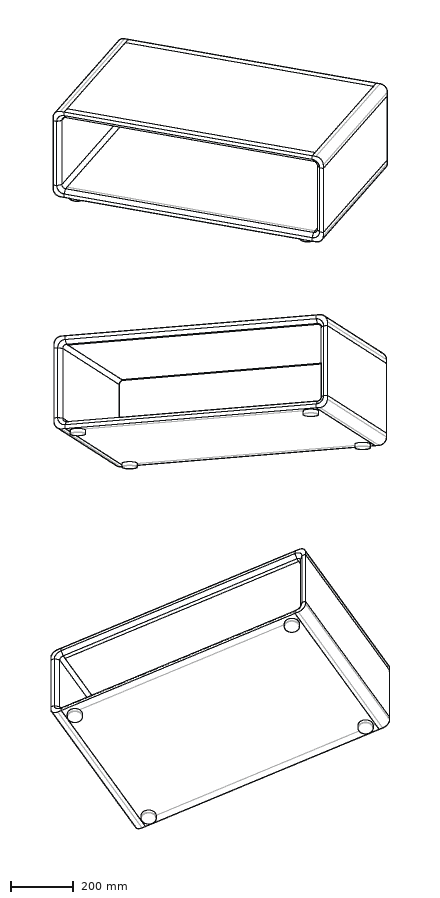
import cadquery as cq

WIDTH = 927.1
DEPTH = 558.8
BOX_HEIGHT = 304.8
WALL = 25.4
INNER_RADIUS = 12.7
OUTER_RADIUS = 25.4
BEVEL = 12.7
EDGING_WIDTH = 25.4
FOOT_DIAMETER = 49.0
FOOT_EDGE_RADIUS = 1.27
FOOT_HEIGHT = 12.71
FOOT_INSET_X = 68.5
FOOT_INSET_Y = 35.0

CORNER_SIZE = WALL + INNER_RADIUS
PANEL_WIDTH = WIDTH - 2 * CORNER_SIZE
SIDE_HEIGHT = BOX_HEIGHT - 2 * CORNER_SIZE
CORE_DEPTH = DEPTH - 2 * EDGING_WIDTH
PANEL_X = WIDTH / 2 - CORNER_SIZE
PANEL_Z = BOX_HEIGHT / 2 - CORNER_SIZE
WALL_X = (WIDTH - WALL) / 2
WALL_Z = (BOX_HEIGHT - WALL) / 2
EDGING_Y = (DEPTH - EDGING_WIDTH) / 2
FOOT_X = WIDTH / 2 - FOOT_INSET_X
FOOT_Y = DEPTH / 2 - FOOT_INSET_Y


def rounded_prism(width, height, radius, depth):
    """Rounded rectangle in XZ, extruded along Y and centred on the origin."""
    return (
        cq.Workplane("XZ")
        .rect(width, height)
        .extrude(depth / 2, both=True)
        .edges("|Y")
        .fillet(radius)
    )


def make_bevel_cutter(opening_width, opening_height, side_y):
    """Flared plug that matches the opening at its narrow end and widens to the box end."""
    mouth = rounded_prism(
        opening_width + 2 * BEVEL, opening_height + 2 * BEVEL, INNER_RADIUS + BEVEL, 2 * BEVEL
    )
    inner_face = ">Y" if side_y < 0 else "<Y"
    plug = mouth.faces(inner_face).chamfer(BEVEL)
    return plug.translate((0, side_y * DEPTH / 2, 0))


def make_tube():
    """Whole open-ended box, before it is divided into its pieces."""
    opening_width = WIDTH - 2 * WALL
    opening_height = BOX_HEIGHT - 2 * WALL
    outside = rounded_prism(WIDTH, BOX_HEIGHT, OUTER_RADIUS, DEPTH)
    opening = rounded_prism(opening_width, opening_height, INNER_RADIUS, DEPTH)
    tube = outside.cut(opening)
    for side_y in (-1, 1):
        tube = tube.cut(make_bevel_cutter(opening_width, opening_height, side_y))
    return tube


def piece_of(tube, size, centre):
    """The part of the tube that lies inside one box."""
    return tube.intersect(cq.Workplane("XY").box(*size).translate(centre))


def make_corner(tube, side_x, side_z):
    reach = CORNER_SIZE / 2
    centre = (side_x * (PANEL_X + reach), 0, side_z * (PANEL_Z + reach))
    return piece_of(tube, (CORNER_SIZE, DEPTH, CORNER_SIZE), centre)


def make_side(tube, side_x):
    return piece_of(tube, (WALL, DEPTH, SIDE_HEIGHT), (side_x * WALL_X, 0, 0))


def make_core(tube, side_z):
    return piece_of(tube, (PANEL_WIDTH, CORE_DEPTH, WALL), (0, 0, side_z * WALL_Z))


def make_edging(tube, side_y, side_z):
    centre = (0, side_y * EDGING_Y, side_z * WALL_Z)
    return piece_of(tube, (PANEL_WIDTH, EDGING_WIDTH, WALL), centre)


def make_bottom(tube):
    """Bottom core, its two edging strips and the four feet, all in one piece.

    The joints stay as lines on the surface, so the unions are not cleaned.
    """
    bottom = make_core(tube, -1)
    for side_y in (-1, 1):
        bottom = bottom.union(make_edging(tube, side_y, -1), clean=False)
    feet = (
        cq.Workplane("XY", origin=(0, 0, -BOX_HEIGHT / 2))
        .rect(2 * FOOT_X, 2 * FOOT_Y, forConstruction=True)
        .vertices()
        .circle(FOOT_DIAMETER / 2)
        .extrude(-FOOT_HEIGHT)
        .faces("<Z")
        .edges()
        .fillet(FOOT_EDGE_RADIUS)
    )
    return bottom.union(feet, clean=False)


tube = make_tube()
corners = [make_corner(tube, side_x, side_z) for side_x in (-1, 1) for side_z in (-1, 1)]
sides = [make_side(tube, side_x) for side_x in (-1, 1)]
top_core = make_core(tube, 1)
top_edgings = [make_edging(tube, side_y, 1) for side_y in (-1, 1)]
bottom = make_bottom(tube)

bodies = [*corners, *sides, top_core, *top_edgings, bottom]
result = cq.Compound.makeCompound([body.val() for body in bodies])